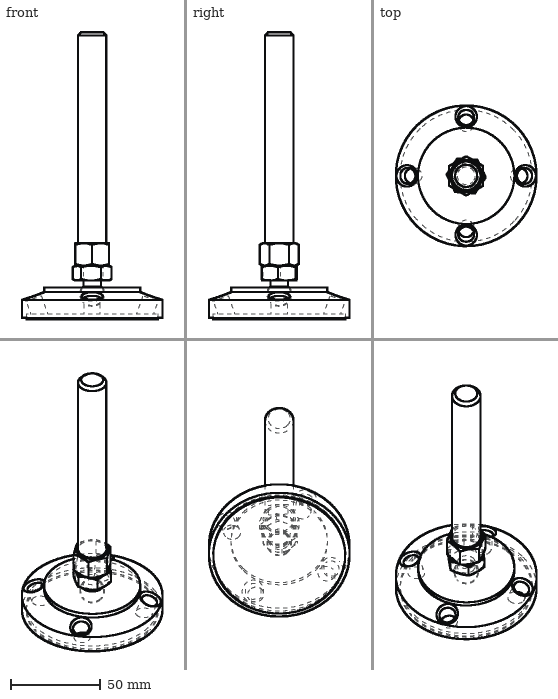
import cadquery as cq
import math

plate_diameter = 79.0
plate_bottom_z = 1.0
plate_rim_top_z = 11.0
plate_crown_diameter = 54.0
plate_top_z = 18.0
cone_angle = 19.5

fixing_hole_count = 4
fixing_hole_diameter = 9.0
fixing_hole_radius = 33.2
countersink_diameter = 12.4
countersink_depth = 1.5
hole_mouth_clearance = 2.0

pad_diameter = 74.0
pad_thickness = 3.0

hexagon_across_flats = 19.0
hexagon_across_corners = hexagon_across_flats / math.cos(math.radians(30))
hexagon_chamfer_angle = 30.0

neck_diameter = 9.9
ball_diameter = 12.95
socket_diameter = 13.84
neck_bottom_z = 18.5
stud_hexagon_bottom_z = 22.0
stud_hexagon_angle = -4.0
stud_hexagon_chamfer_diameter = 19.5

spindle_hexagon_bottom_z = 30.0
spindle_hexagon_top_z = 43.0
spindle_hexagon_angle = 30.0
spindle_hexagon_chamfer_diameter = 18.0
rod_diameter = 16.0
rod_top_z = 161.03
rod_end_diameter = 12.4
rod_end_chamfer_length = 2.0

ball_radius = ball_diameter / 2
neck_radius = neck_diameter / 2
ball_centre_z = neck_bottom_z - math.sqrt(ball_radius**2 - neck_radius**2)

plate_radius = plate_diameter / 2
crown_radius = plate_crown_diameter / 2
cone_slope = math.tan(math.radians(cone_angle))
cone_top_z = plate_rim_top_z + (plate_radius - crown_radius) * cone_slope


def revolve_profile(points):
    """Revolve an outline of (radius, z) points about the Z axis."""
    outline = cq.Workplane("XZ").polyline(points).close()
    return outline.revolve(360, (0, 0), (0, 1))


def chamfered_hexagon(bottom_z, top_z, turn_angle, face_diameter):
    """Hexagonal prism whose corners are turned down to face_diameter at both ends."""
    prism = (
        cq.Workplane("XY")
        .workplane(offset=bottom_z)
        .polygon(6, hexagon_across_corners)
        .extrude(top_z - bottom_z)
        .rotate((0, 0, 0), (0, 0, 1), turn_angle)
    )
    face_radius = face_diameter / 2
    corner_radius = hexagon_across_corners / 2
    drop = (corner_radius - face_radius) * math.tan(math.radians(hexagon_chamfer_angle))
    envelope = revolve_profile([
        (0, bottom_z),
        (face_radius, bottom_z),
        (corner_radius, bottom_z + drop),
        (corner_radius, top_z - drop),
        (face_radius, top_z),
        (0, top_z),
    ])
    return prism.intersect(envelope)


def fixing_hole_cutter():
    """Countersunk drill square to the cone, on the +X side of the plate."""
    tilt = math.radians(cone_angle)
    mouth_z = plate_rim_top_z + (plate_radius - fixing_hole_radius) * cone_slope
    mouth = cq.Plane(
        origin=(fixing_hole_radius, 0, mouth_z),
        xDir=(0, 1, 0),
        normal=(math.sin(tilt), 0, math.cos(tilt)),
    )
    drill = (
        cq.Workplane(mouth)
        .workplane(offset=hole_mouth_clearance)
        .circle(fixing_hole_diameter / 2)
        .extrude(-(plate_top_z + hole_mouth_clearance))
    )
    countersink = (
        cq.Workplane(mouth)
        .circle(countersink_diameter / 2)
        .workplane(offset=-countersink_depth)
        .circle(fixing_hole_diameter / 2)
        .loft()
    )
    mouth_relief = (
        cq.Workplane(mouth)
        .circle(countersink_diameter / 2)
        .extrude(hole_mouth_clearance)
    )
    return drill.union(countersink).union(mouth_relief)


def sphere_at_pivot(diameter):
    """Full sphere centred on the swivel point."""
    return cq.Workplane("XY").workplane(offset=ball_centre_z).sphere(diameter / 2)


def make_plate():
    plate = revolve_profile([
        (0, plate_bottom_z),
        (plate_radius, plate_bottom_z),
        (plate_radius, plate_rim_top_z),
        (crown_radius, cone_top_z),
        (crown_radius, plate_top_z),
        (0, plate_top_z),
    ])
    cutter = fixing_hole_cutter()
    for index in range(fixing_hole_count):
        angle = index * 360 / fixing_hole_count
        plate = plate.cut(cutter.rotate((0, 0, 0), (0, 0, 1), angle))
    plate = plate.cut(sphere_at_pivot(socket_diameter))
    return plate.cut(make_pad())


def make_pad():
    return cq.Workplane("XY").circle(pad_diameter / 2).extrude(pad_thickness)


def make_stud():
    hexagon = chamfered_hexagon(
        stud_hexagon_bottom_z,
        spindle_hexagon_bottom_z,
        stud_hexagon_angle,
        stud_hexagon_chamfer_diameter,
    )
    neck = (
        cq.Workplane("XY")
        .workplane(offset=ball_centre_z)
        .circle(neck_radius)
        .extrude(stud_hexagon_bottom_z - ball_centre_z)
    )
    return hexagon.union(neck).union(sphere_at_pivot(ball_diameter))


def make_spindle():
    hexagon = chamfered_hexagon(
        spindle_hexagon_bottom_z,
        spindle_hexagon_top_z,
        spindle_hexagon_angle,
        spindle_hexagon_chamfer_diameter,
    )
    rod = revolve_profile([
        (0, spindle_hexagon_top_z),
        (rod_diameter / 2, spindle_hexagon_top_z),
        (rod_diameter / 2, rod_top_z - rod_end_chamfer_length),
        (rod_end_diameter / 2, rod_top_z),
        (0, rod_top_z),
    ])
    return hexagon.union(rod)


plate = make_plate()
pad = make_pad()
stud = make_stud()
spindle = make_spindle()

result = cq.Compound.makeCompound([plate.val(), pad.val(), stud.val(), spindle.val()])